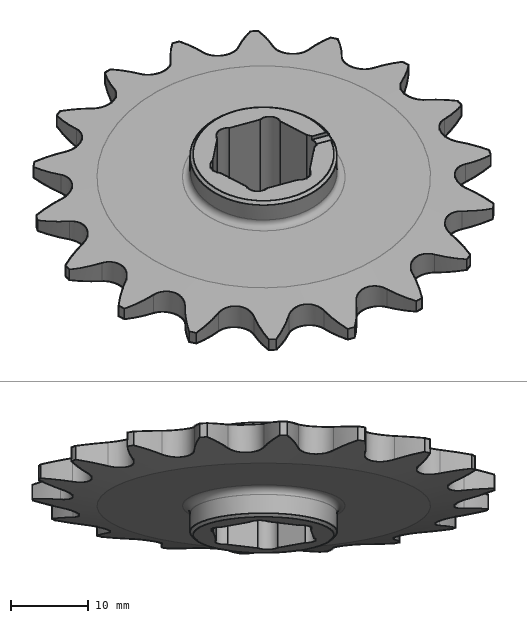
import cadquery as cq
import math

TOOTH_COUNT = 18
PITCH = 9.525
ROLLER_DIA = 5.08
OUTSIDE_DIA = 60.06

PLATE_THICKNESS = 4.83
FLAT_FACE_DIA = 43.2
TAPER_ANGLE = 10.0

HUB_DIA = 19.05
HUB_LENGTH = 12.7
HUB_CHAMFER = 0.4
HUB_FILLET = 1.0

HEX_SIDES = 6
HEX_ACROSS_FLATS = 12.7
HEX_CORNER_RELIEF_RADIUS = 1.5

SLOT_WIDTH = 1.6
SLOT_DEPTH = 0.6

SEAT_RADIUS = 0.505 * ROLLER_DIA + 0.0345 * ROLLER_DIA ** (1 / 3)
SEAT_HALF_ANGLE = (130 - 90 / TOOTH_COUNT) / 2
FLANK_RADIUS = ROLLER_DIA * (0.06 * (TOOTH_COUNT + 2) + 0.004 * (TOOTH_COUNT**2 + 180))
HALF_TOOTH_ANGLE = 180 / TOOTH_COUNT

OUTSIDE_RADIUS = OUTSIDE_DIA / 2
PITCH_RADIUS = PITCH / 2 / math.sin(math.radians(HALF_TOOTH_ANGLE))
CUTTER_OVERLAP = 0.2
CUTTER_RADIUS = OUTSIDE_RADIUS + CUTTER_OVERLAP


def offset(point, distance, angle):
    """Point moved by a distance in the direction of an angle in degrees."""
    direction = math.radians(angle)
    return (
        point[0] + distance * math.cos(direction),
        point[1] + distance * math.sin(direction),
    )


def mirrored(point):
    """Point on the opposite flank of a gap that is centred on the X axis."""
    return (point[0], -point[1])


def make_gap_cutter():
    """Space between two teeth, centred on the X axis and open outwards."""
    roller = (PITCH_RADIUS, 0)
    root = offset(roller, SEAT_RADIUS, 180)

    seat_end_direction = 180 - SEAT_HALF_ANGLE
    seat_end = offset(roller, SEAT_RADIUS, seat_end_direction)
    flank_center = offset(roller, SEAT_RADIUS + FLANK_RADIUS, seat_end_direction)

    center_distance = math.hypot(*flank_center)
    center_direction = math.degrees(math.atan2(flank_center[1], flank_center[0]))
    cosine = (FLANK_RADIUS**2 + center_distance**2 - CUTTER_RADIUS**2) / (
        2 * FLANK_RADIUS * center_distance
    )
    flank_start_direction = seat_end_direction - 180
    flank_end_direction = center_direction - 180 + math.degrees(math.acos(cosine))
    flank_middle_direction = (flank_start_direction + flank_end_direction) / 2
    flank_middle = offset(flank_center, FLANK_RADIUS, flank_middle_direction)
    flank_end = offset(flank_center, FLANK_RADIUS, flank_end_direction)

    return (
        cq.Workplane("XY")
        .workplane(offset=-HUB_LENGTH / 2)
        .moveTo(*seat_end)
        .threePointArc(flank_middle, flank_end)
        .threePointArc((CUTTER_RADIUS, 0), mirrored(flank_end))
        .threePointArc(mirrored(flank_middle), mirrored(seat_end))
        .threePointArc(root, seat_end)
        .close()
        .extrude(HUB_LENGTH)
    )


def make_blank():
    """Turned plate and hub in one revolved section."""
    hub_radius = HUB_DIA / 2
    hub_top = HUB_LENGTH / 2
    face = PLATE_THICKNESS / 2
    flat_radius = FLAT_FACE_DIA / 2
    taper_drop = (OUTSIDE_RADIUS - flat_radius) * math.tan(math.radians(TAPER_ANGLE))
    rim = face - taper_drop

    fillet_center = (hub_radius + HUB_FILLET, face + HUB_FILLET)
    upper_fillet_middle = offset(fillet_center, HUB_FILLET, 225)
    lower_fillet_middle = (upper_fillet_middle[0], -upper_fillet_middle[1])

    return (
        cq.Workplane("XZ")
        .moveTo(0, hub_top)
        .lineTo(hub_radius - HUB_CHAMFER, hub_top)
        .lineTo(hub_radius, hub_top - HUB_CHAMFER)
        .lineTo(hub_radius, face + HUB_FILLET)
        .threePointArc(upper_fillet_middle, (hub_radius + HUB_FILLET, face))
        .lineTo(flat_radius, face)
        .lineTo(OUTSIDE_RADIUS, rim)
        .lineTo(OUTSIDE_RADIUS, -rim)
        .lineTo(flat_radius, -face)
        .lineTo(hub_radius + HUB_FILLET, -face)
        .threePointArc(lower_fillet_middle, (hub_radius, -face - HUB_FILLET))
        .lineTo(hub_radius, HUB_CHAMFER - hub_top)
        .lineTo(hub_radius - HUB_CHAMFER, -hub_top)
        .lineTo(0, -hub_top)
        .close()
        .revolve(360, (0, 0, 0), (0, 1, 0))
    )


def cut_teeth(body):
    """Cut the gaps, leaving one tooth centred on the +X axis."""
    gap = make_gap_cutter()
    for index in range(TOOTH_COUNT):
        angle = HALF_TOOTH_ANGLE * (2 * index + 1)
        body = body.cut(gap.rotate((0, 0, 0), (0, 0, 1), angle))
    return body


def cut_bore(body):
    """Through hexagon whose corners are rounded and relieved by cylinders."""
    corner_radius = HEX_ACROSS_FLATS / 2 / math.cos(math.radians(180 / HEX_SIDES))
    bottom = cq.Workplane("XY").workplane(offset=-HUB_LENGTH / 2)
    hexagon = (
        bottom.transformed(rotate=(0, 0, 90))
        .polygon(HEX_SIDES, 2 * corner_radius)
        .extrude(HUB_LENGTH)
    )
    reliefs = (
        bottom.polarArray(corner_radius - HEX_CORNER_RELIEF_RADIUS, 90, 360, HEX_SIDES)
        .circle(HEX_CORNER_RELIEF_RADIUS)
        .extrude(HUB_LENGTH)
    )
    return body.cut(hexagon).cut(reliefs)


def cut_slot(body):
    """Shallow slot across the upper hub face on the +Y side."""
    slot = (
        cq.Workplane("XY")
        .workplane(offset=HUB_LENGTH / 2 - SLOT_DEPTH)
        .center(0, HUB_DIA / 4)
        .rect(SLOT_WIDTH, HUB_DIA / 2)
        .extrude(SLOT_DEPTH)
    )
    return body.cut(slot)


blank = make_blank()
toothed = cut_teeth(blank)
bored = cut_bore(toothed)
result = cut_slot(bored)